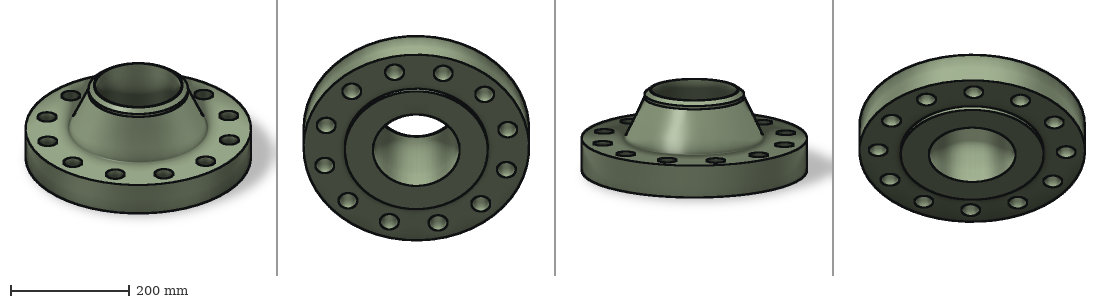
import cadquery as cq
import math

flange_diameter = 381.0
flange_thickness = 55.5
face_diameter = 241.5
face_height = 8.0

bolt_count = 12
bolt_circle_diameter = 317.3
bolt_hole_diameter = 31.5

total_height = 147.8
hub_base_diameter = 235.0
hub_fillet_radius = 2.5
neck_diameter = 168.5
neck_length = 5.7
bore_diameter = 146.3
weld_land_width = 1.6
bevel_angle = 37.5

flange_top = face_height + flange_thickness
flange_radius = flange_diameter / 2
face_radius = face_diameter / 2
hub_base_radius = hub_base_diameter / 2
neck_radius = neck_diameter / 2
bore_radius = bore_diameter / 2
land_radius = bore_radius + weld_land_width
bevel_height = (neck_radius - land_radius) * math.tan(math.radians(bevel_angle))
neck_top = total_height - bevel_height
neck_bottom = neck_top - neck_length


def hub_fillet_ends():
    """Tangent points of the hub fillet, on the flange and on the cone, and its middle point."""
    slope = math.atan2(neck_bottom - flange_top, hub_base_radius - neck_radius)
    tangent_length = hub_fillet_radius * math.tan(slope / 2)
    center_r = hub_base_radius + tangent_length
    center_z = flange_top + hub_fillet_radius
    on_flange = (center_r, flange_top)
    middle = (
        center_r - hub_fillet_radius * math.sin(slope / 2),
        center_z - hub_fillet_radius * math.cos(slope / 2),
    )
    on_cone = (
        center_r - hub_fillet_radius * math.sin(slope),
        center_z - hub_fillet_radius * math.cos(slope),
    )
    return on_flange, middle, on_cone


def flange_body():
    """Half section in the XZ plane, bore left open, revolved about Z."""
    fillet_start, fillet_middle, fillet_end = hub_fillet_ends()
    return (
        cq.Workplane("XZ")
        .moveTo(bore_radius, 0)
        .lineTo(face_radius, 0)
        .lineTo(face_radius, face_height)
        .lineTo(flange_radius, face_height)
        .lineTo(flange_radius, flange_top)
        .lineTo(*fillet_start)
        .threePointArc(fillet_middle, fillet_end)
        .lineTo(neck_radius, neck_bottom)
        .lineTo(neck_radius, neck_top)
        .lineTo(land_radius, total_height)
        .lineTo(bore_radius, total_height)
        .close()
        .revolve(360, (0, 0, 0), (0, 1, 0))
    )


def bolt_holes():
    """Through holes for the flange bolts, evenly spaced."""
    return (
        cq.Workplane("XY")
        .polarArray(bolt_circle_diameter / 2, 0, 360, bolt_count)
        .circle(bolt_hole_diameter / 2)
        .extrude(flange_top)
    )


result = flange_body().cut(bolt_holes())